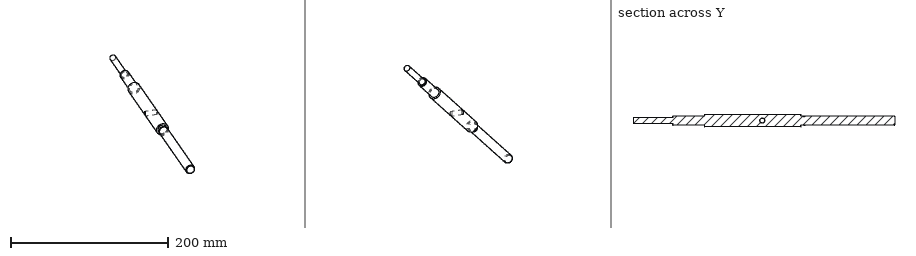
import cadquery as cq

total_length = 333.0

pin_diameter = 8.0
rod_diameter = 12.0
body_diameter = 16.0

pin_length = 50.0
collar_length = 40.5
body_length = 122.5
neck_length = 4.0
collar_chamfer = 0.5
rod_chamfer = 1.0

cross_hole_diameter = 6.0
cross_hole_from_body_start = 73.5

collar_start = pin_length
body_start = collar_start + collar_length
body_end = body_start + body_length
rod_start = body_end + neck_length


def cylinder(start, end, diameter):
    """Solid cylinder on the X axis between two stations."""
    return cq.Workplane("YZ", origin=(start, 0, 0)).circle(diameter / 2).extrude(end - start)


def make_collar():
    """Rod-sized stub between pin and body, chamfered on the pin side."""
    collar = cylinder(collar_start, body_start, rod_diameter)
    return collar.faces("<X").chamfer(collar_chamfer)


def make_rod():
    """Long rod at the +X end, chamfered at both ends; its inner chamfer leaves a V step at the neck."""
    rod = cylinder(rod_start, total_length, rod_diameter)
    return rod.faces("<X or >X").chamfer(rod_chamfer)


def make_cross_hole():
    """Through hole along Y for a tommy bar."""
    hole_x = body_start + cross_hole_from_body_start
    hole_plane = cq.Workplane("XZ", origin=(hole_x, 0, 0))
    return hole_plane.circle(cross_hole_diameter / 2).extrude(body_diameter, both=True)


pin = cylinder(0, collar_start, pin_diameter)
body = cylinder(body_start, body_end, body_diameter)
neck = cylinder(body_end, rod_start, rod_diameter)

result = (
    pin.union(make_collar())
    .union(body)
    .union(neck)
    .union(make_rod())
    .cut(make_cross_hole())
)